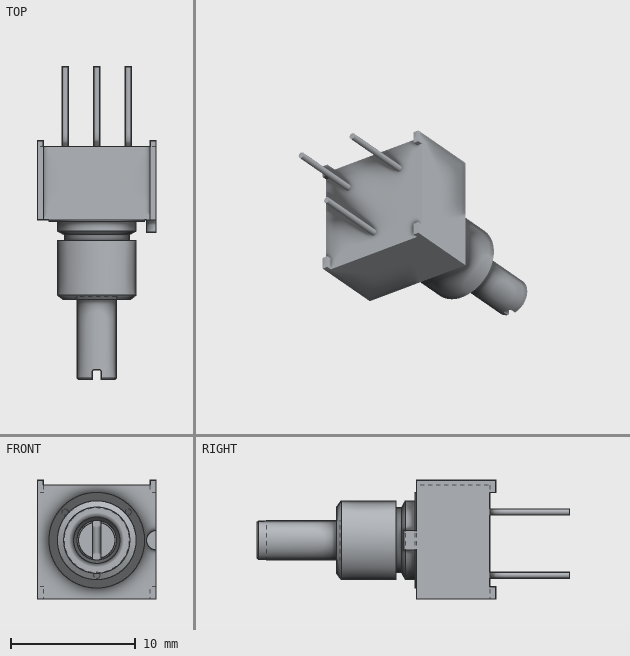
import cadquery as cq


width = 9.55
height = 9.55
housing_bottom = -4.72
housing_top = housing_bottom + height
housing_depth = 5.9
rail_width = 0.48
rail_height = 0.38
foot_length = 0.48
foot_height = 1.0

overall_length = 25.1
shaft_tip = -12.8
pin_end = overall_length + shaft_tip
pin_radius = 0.25
pin_pitch = 2.54
upper_pin_z = 2.25
lower_pin_z = upper_pin_z - 2 * pin_pitch

washer_radius = 3.85
washer_thickness = 0.13
bushing_radius = 3.16
collar_length = 0.88
groove_start = 1.18
groove_end = 1.63
groove_radius = 2.6
bushing_length = 6.4
nose_chamfer_length = 0.38
nose_chamfer_height = 0.5

shaft_radius = 1.58
shaft_chamfer = 0.13
countersink = 0.28
slot_width = 0.7
slot_depth = 0.78
slot_corner_radius = 0.18

peg_radius = 0.78
peg_length = 1.0


def block(x_min, x_max, y_min, y_max, z_min, z_max):
    """Box between two limits on each axis."""
    size = (x_max - x_min, y_max - y_min, z_max - z_min)
    return cq.Workplane("XY").box(*size, centered=False).translate((x_min, y_min, z_min))


def cylinder(x, z, radius, y_min, y_max):
    """Cylinder running along Y."""
    base = cq.Workplane("XZ", origin=(x, y_min, z))
    return base.circle(radius).extrude(y_min - y_max)


def make_housing():
    """Box with two rails on top and a foot on each rear corner."""
    half = width / 2
    body = block(-half, half, 0, housing_depth, housing_bottom, housing_top - rail_height)
    for left in (-half, half - rail_width):
        right = left + rail_width
        body = body.union(block(left, right, 0, housing_depth, housing_bottom, housing_top))
        for bottom in (housing_bottom, housing_top - foot_height):
            foot_end = housing_depth + foot_length
            body = body.union(block(left, right, 0, foot_end, bottom, bottom + foot_height))
    return body


def make_pins():
    """Two upper terminal pins and a lower one between them."""
    pins = cq.Workplane("XY")
    for x, z in ((-pin_pitch, upper_pin_z), (0, lower_pin_z), (pin_pitch, upper_pin_z)):
        pins = pins.add(cylinder(x, z, pin_radius, housing_depth / 2, pin_end))
    return pins.combine()


def make_turned_parts():
    """Washer, grooved bushing and shaft as one revolved profile."""
    profile = [
        (0, 0),
        (washer_radius, 0),
        (washer_radius, -washer_thickness),
        (bushing_radius, -washer_thickness),
        (bushing_radius, -collar_length),
        (groove_radius, -groove_start),
        (groove_radius, -groove_end),
        (bushing_radius, -groove_end),
        (bushing_radius, nose_chamfer_length - bushing_length),
        (bushing_radius - nose_chamfer_height, -bushing_length),
        (shaft_radius + countersink, -bushing_length),
        (shaft_radius, countersink - bushing_length),
        (shaft_radius, shaft_tip + shaft_chamfer),
        (shaft_radius - shaft_chamfer, shaft_tip),
        (0, shaft_tip),
    ]
    return cq.Workplane("XY").polyline(profile).close().revolve(360, (0, 0), (0, 1))


def make_slot():
    """Screwdriver slot across the shaft tip, with rounded floor corners."""
    slot = block(-slot_width / 2, slot_width / 2, shaft_tip, shaft_tip + slot_depth, -shaft_radius, shaft_radius)
    return slot.edges("|Z and >Y").fillet(slot_corner_radius)


def make_peg():
    """Half-round locating peg, flush with the housing side."""
    side = width / 2
    peg = cylinder(side, 0, peg_radius, -peg_length, 0)
    return peg.intersect(block(0, side, -peg_length, 0, -peg_radius, peg_radius))


result = make_housing().union(make_pins()).union(make_turned_parts()).union(make_peg()).cut(make_slot())